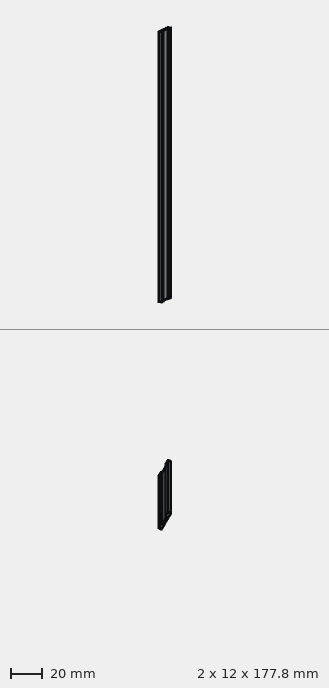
import cadquery as cq

thickness = 2.0
width = 12.0
length = 177.8

groove_width = 5.9
groove_depth = 0.7

strip = cq.Workplane("XY").box(thickness, width, length)

groove_center_x = (thickness - groove_depth) / 2
groove = (
    cq.Workplane("XY")
    .box(groove_depth, groove_width, length)
    .translate((groove_center_x, 0, 0))
)

result = strip.cut(groove)